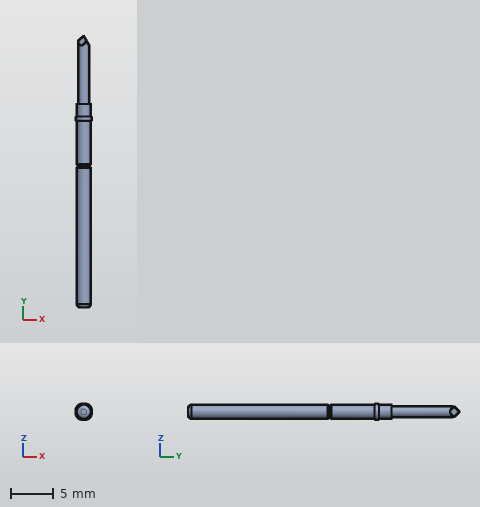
import cadquery as cq
import math

total_length = 32.0

barrel_radius = 0.848
barrel_length = 24.0
end_round_length = 0.4
end_round_radius = 0.5
end_flat_radius = 0.35

collar_radius = 1.0
collar_centre = 22.25
collar_width = 0.5

groove_centre = 16.67
groove_mouth_width = 0.5
groove_floor_width = 0.05
groove_depth = 0.2

plunger_radius = 0.655
facet_count = 3
facet_angle = 30.0


def rod(radius, start, end):
    """Cylinder about the Y axis, from Y = start to Y = end."""
    return cq.Workplane("XZ", origin=(0, start, 0)).circle(radius).extrude(start - end)


def revolve_about_y(section):
    """Close the half section and spin it a full turn about the probe axis."""
    return section.close().revolve(360, (0, 0, 0), (0, 1, 0))


def make_barrel():
    """Plain cylinder with a flat, rounded-off rear end."""
    section = (
        cq.Workplane("XY")
        .lineTo(end_flat_radius, 0)
        .radiusArc((barrel_radius, end_round_length), -end_round_radius)
        .lineTo(barrel_radius, barrel_length)
        .lineTo(0, barrel_length)
    )
    return revolve_about_y(section)


def make_collar():
    half_width = collar_width / 2
    section = (
        cq.Workplane("XY")
        .moveTo(0, collar_centre - half_width)
        .lineTo(barrel_radius, collar_centre - half_width)
        .threePointArc((collar_radius, collar_centre), (barrel_radius, collar_centre + half_width))
        .lineTo(0, collar_centre + half_width)
    )
    return revolve_about_y(section)


def make_groove():
    """Ring with a trapezoidal section, to be cut from the barrel."""
    half_floor = groove_floor_width / 2
    half_mouth = groove_mouth_width / 2
    floor_radius = barrel_radius - groove_depth
    section = [
        (barrel_radius, groove_centre - half_mouth),
        (floor_radius, groove_centre - half_floor),
        (floor_radius, groove_centre + half_floor),
        (barrel_radius, groove_centre + half_mouth),
    ]
    return revolve_about_y(cq.Workplane("XY").polyline(section))


def make_plunger():
    plunger = rod(plunger_radius, barrel_length, total_length)

    facet_length = plunger_radius / math.tan(math.radians(facet_angle))
    wedge_overrun = 2.0
    wedge_side = plunger_radius * wedge_overrun
    wedge_base = total_length - facet_length * wedge_overrun
    wedge = (
        cq.Workplane("XY", origin=(0, 0, -wedge_side))
        .polyline([(0, total_length), (wedge_side, wedge_base), (wedge_side, total_length)])
        .close()
        .extrude(2 * wedge_side)
    )
    for index in range(facet_count):
        direction = index * 360 / facet_count
        plunger = plunger.cut(wedge.rotate((0, 0, 0), (0, 1, 0), direction))
    return plunger


result = make_barrel().union(make_collar()).cut(make_groove()).union(make_plunger())